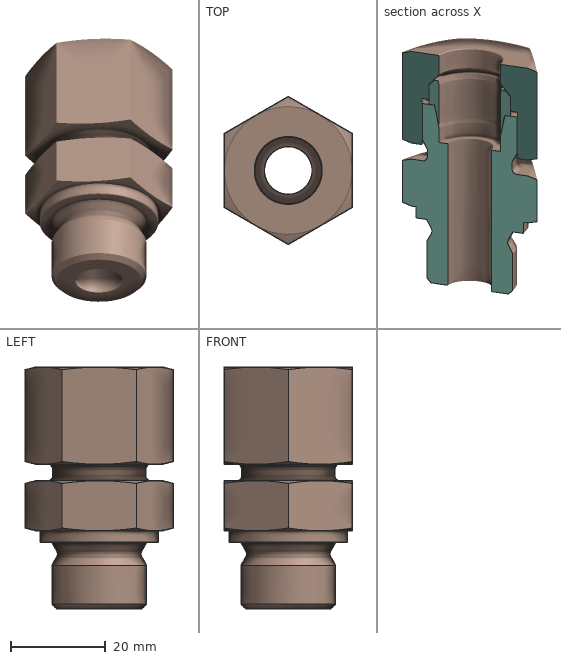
import cadquery as cq
import math


across_flats = 27.05
hex_face_diameter = 26.95
hex_chamfer_angle = 15.0
hex_half_sector = 30.0

collar_z = 13.95
hex_bottom_z = 16.45
hex_top_z = 27.05
nut_bottom_z = 30.5
body_top_z = 39.8
overall_height = 51.0

stud_radius = 20.0 / 2
stud_chamfer = 1.0
relief_floor_radius = 8.8
relief_fillet = 1.35
relief_angle = 30.0
collar_radius = 25.0 / 2
collar_chamfer = 0.15

neck_radius = 19.7 / 2
neck_fillet = 1.0
neck_flare_z = 29.4
neck_flare_angle = 30.0
thread_radius = 22.0 / 2

flow_radius = 10.0 / 2
tube_radius = 14.0 / 2
tube_stop_z = 31.6

ring_top_radius = 8.3
ring_outer_radius = 19.0 / 2
ring_lead_in_depth = 1.1
ring_lead_in_width = 0.25
seat_mouth_radius = 16.2 / 2
seat_angle = 12.0
nose_length = 4.1

nut_bore_depth = 4.35
nut_bore_chamfer = 0.15
nut_thread_clearance = 1.0

nut_cone_top_z = overall_height - nut_bore_depth
ring_top_z = nut_cone_top_z - (ring_top_radius - tube_radius)
ring_shoulder_z = nut_cone_top_z - (ring_outer_radius - tube_radius)
seat_slope = math.tan(math.radians(seat_angle))


def revolve_profile(profile):
    """Close a half profile drawn as (radius, height) and turn it around Z."""
    return profile.close().revolve(360, (0, 0, 0), (0, 1, 0))


def chamfered_hex(bottom_z, top_z):
    """Hexagonal prism with corners on the Y axis and conical chamfers at both ends."""
    face_radius = hex_face_diameter / 2
    corner_radius = across_flats / 2 / math.cos(math.radians(hex_half_sector))
    drop = (corner_radius - face_radius) * math.tan(math.radians(hex_chamfer_angle))
    prism = (
        cq.Workplane("XY", origin=(0, 0, bottom_z))
        .polygon(6, 2 * corner_radius)
        .extrude(top_z - bottom_z)
        .rotate((0, 0, 0), (0, 0, 1), hex_half_sector)
    )
    envelope = revolve_profile(
        cq.Workplane("XZ")
        .moveTo(0, bottom_z)
        .lineTo(face_radius, bottom_z)
        .lineTo(corner_radius, bottom_z + drop)
        .lineTo(corner_radius, top_z - drop)
        .lineTo(face_radius, top_z)
        .lineTo(0, top_z)
    )
    return prism.intersect(envelope)


def stud_end():
    """Chamfered stud, rounded V-shaped thread relief and collar below the hexagon."""
    angle = math.radians(relief_angle)
    floor_half_height = relief_fillet * math.sin(angle)
    flank_radius = relief_floor_radius + relief_fillet * (1 - math.cos(angle))
    flank_height = (stud_radius - flank_radius) / math.tan(angle)
    floor_top_z = collar_z - flank_height
    floor_bottom_z = floor_top_z - 2 * floor_half_height
    floor_middle = (relief_floor_radius, floor_bottom_z + floor_half_height)
    return revolve_profile(
        cq.Workplane("XZ")
        .moveTo(0, 0)
        .lineTo(stud_radius - stud_chamfer, 0)
        .lineTo(stud_radius, stud_chamfer)
        .lineTo(stud_radius, floor_bottom_z - flank_height)
        .lineTo(flank_radius, floor_bottom_z)
        .threePointArc(floor_middle, (flank_radius, floor_top_z))
        .lineTo(stud_radius, collar_z)
        .lineTo(collar_radius - collar_chamfer, collar_z)
        .lineTo(collar_radius, collar_z + collar_chamfer)
        .lineTo(collar_radius, hex_bottom_z)
        .lineTo(0, hex_bottom_z)
    )


def threaded_neck():
    """Filleted neck above the hexagon, flaring out to the thread that carries the nut."""
    angle = math.radians(neck_flare_angle)
    fillet_centre_radius = neck_radius + neck_fillet
    flare_start_radius = fillet_centre_radius - neck_fillet * math.cos(angle)
    flare_start_z = neck_flare_z + neck_fillet * math.sin(angle)
    flare_end_z = flare_start_z + (thread_radius - flare_start_radius) / math.tan(angle)
    flare_arc_middle = (
        fillet_centre_radius - neck_fillet * math.cos(angle / 2),
        neck_flare_z + neck_fillet * math.sin(angle / 2),
    )
    base_arc_offset = neck_fillet * math.sqrt(0.5)
    base_arc_middle = (
        fillet_centre_radius - base_arc_offset,
        hex_top_z + neck_fillet - base_arc_offset,
    )
    return revolve_profile(
        cq.Workplane("XZ")
        .moveTo(0, hex_top_z)
        .lineTo(fillet_centre_radius, hex_top_z)
        .threePointArc(base_arc_middle, (neck_radius, hex_top_z + neck_fillet))
        .lineTo(neck_radius, neck_flare_z)
        .threePointArc(flare_arc_middle, (flare_start_radius, flare_start_z))
        .lineTo(thread_radius, flare_end_z)
        .lineTo(thread_radius, body_top_z)
        .lineTo(0, body_top_z)
    )


def body_bore():
    """Flow bore, tube socket and the cone that receives the cutting ring."""
    seat_bottom_z = body_top_z - (seat_mouth_radius - tube_radius) / seat_slope
    return revolve_profile(
        cq.Workplane("XZ")
        .moveTo(0, 0)
        .lineTo(flow_radius, 0)
        .lineTo(flow_radius, tube_stop_z)
        .lineTo(tube_radius, tube_stop_z)
        .lineTo(tube_radius, seat_bottom_z)
        .lineTo(seat_mouth_radius, body_top_z)
        .lineTo(0, body_top_z)
    )


def make_body():
    hexagon = chamfered_hex(hex_bottom_z, hex_top_z)
    return hexagon.union(stud_end()).union(threaded_neck()).cut(body_bore())


def make_cutting_ring():
    """Ring with a tapered nose in the body, and a 45 degree shoulder under the nut."""
    nose_radius = seat_mouth_radius - nose_length * seat_slope
    nose_z = body_top_z - nose_length
    return revolve_profile(
        cq.Workplane("XZ")
        .moveTo(tube_radius, nose_z)
        .lineTo(nose_radius, nose_z)
        .lineTo(seat_mouth_radius, body_top_z)
        .lineTo(ring_outer_radius, body_top_z)
        .lineTo(ring_outer_radius, ring_shoulder_z)
        .lineTo(ring_top_radius, ring_top_z)
        .lineTo(tube_radius + ring_lead_in_width, ring_top_z)
        .lineTo(tube_radius, ring_top_z - ring_lead_in_depth)
    )


def nut_bore():
    """Thread bore, ring chamber with its pressing cone, and chamfered tube hole."""
    thread_end_z = body_top_z + nut_thread_clearance
    return revolve_profile(
        cq.Workplane("XZ")
        .moveTo(0, nut_bottom_z)
        .lineTo(thread_radius, nut_bottom_z)
        .lineTo(thread_radius, thread_end_z)
        .lineTo(ring_outer_radius, thread_end_z)
        .lineTo(ring_outer_radius, ring_shoulder_z)
        .lineTo(tube_radius, nut_cone_top_z)
        .lineTo(tube_radius, overall_height - nut_bore_chamfer)
        .lineTo(tube_radius + nut_bore_chamfer, overall_height)
        .lineTo(0, overall_height)
    )


def make_nut():
    return chamfered_hex(nut_bottom_z, overall_height).cut(nut_bore())


body = make_body()
cutting_ring = make_cutting_ring()
nut = make_nut()

result = cq.Compound.makeCompound([body.solids().val(), cutting_ring.solids().val(), nut.solids().val()])